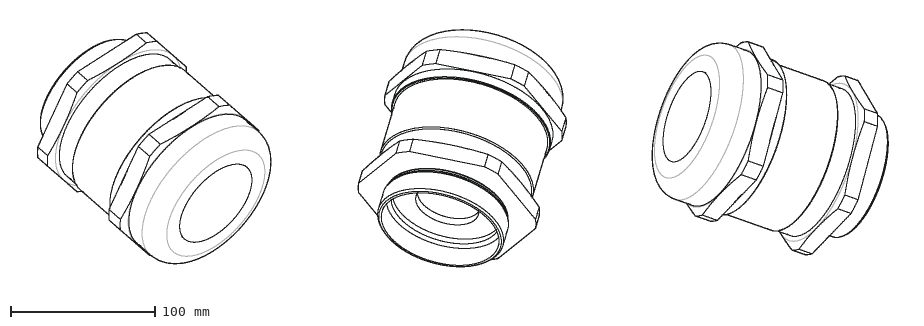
import cadquery as cq
import math

length = 136.0

thread_diameter = 90.0
lead_in_diameter = 87.6
thread_chamfer = 1.5
thread_end = 15.9
relief_start = 17.3
relief_diameter = thread_diameter - 2 * (relief_start - thread_end)
ring_outer_diameter = 87.6
ring_cord_radius = 1.6

across_flats = 115.0
across_corners = 126.9
body_hex_start = 20.0
body_hex_end = 32.2
nut_hex_start = 96.0
nut_hex_end = 109.8
hex_chamfer_angle = 15.0
hex_chamfer = (across_corners - across_flats) / 2 * math.tan(math.radians(hex_chamfer_angle))

neck_diameter = 108.0
barrel_diameter = 110.0
barrel_start = 46.4
barrel_chamfer = 1.0

cap_diameter = 113.8
cap_start = 88.8
cap_chamfer = 0.5
dome_radius = 12.1

mouth_diameter = 84.0
seat_diameter = 78.0
mouth_depth = 14.5
seat_start = 16.3
seat_depth = 20.4
cable_diameter = 45.0
seal_lip_length = 5.5
cavity_diameter = 66.0


def disc(diameter, start, end):
    """Cylinder on the X axis between two stations."""
    return cq.Workplane("YZ", origin=(start, 0, 0)).circle(diameter / 2).extrude(end - start)


def cone(start_diameter, end_diameter, start, end):
    """Tapered plug on the X axis between two stations."""
    profile = [(start, 0), (start, start_diameter / 2), (end, end_diameter / 2), (end, 0)]
    return cq.Workplane("XY").polyline(profile).close().revolve(360, (0, 0, 0), (1, 0, 0))


def hexagon(start, end):
    """Hexagon with flats facing +Z and -Z, turned corners and a chamfered +X face."""
    prism = (
        cq.Workplane("YZ", origin=(start, 0, 0))
        .polygon(6, across_flats, circumscribed=True)
        .extrude(end - start)
        .rotate((0, 0, 0), (1, 0, 0), 90)
    )
    chamfer_start = end - hex_chamfer
    envelope = disc(across_corners, start, chamfer_start).union(
        cone(across_corners, across_flats, chamfer_start, end)
    )
    return prism.intersect(envelope)


def spigot():
    thread = disc(thread_diameter, thread_chamfer, thread_end)
    lead_in = cone(lead_in_diameter, thread_diameter, 0, thread_chamfer)
    run_out = cone(thread_diameter, relief_diameter, thread_end, relief_start)
    relief = disc(relief_diameter, relief_start, body_hex_start)
    return thread.union(lead_in).union(run_out).union(relief)


def sealing_ring():
    center = (relief_start + ring_cord_radius, ring_outer_diameter / 2 - ring_cord_radius)
    cord = cq.Workplane("XY").center(*center).circle(ring_cord_radius)
    return cord.revolve(360, (0, -center[1], 0), (1, -center[1], 0))


def body():
    neck = disc(neck_diameter, body_hex_end, barrel_start)
    barrel_full = barrel_start + barrel_chamfer
    shoulder = cone(neck_diameter, barrel_diameter, barrel_start, barrel_full)
    barrel = disc(barrel_diameter, barrel_full, cap_start)
    return hexagon(body_hex_start, body_hex_end).union(neck).union(shoulder).union(barrel)


def cap_nut():
    cap = disc(cap_diameter, cap_start, length)
    cap = cap.faces("<X").edges().chamfer(cap_chamfer)
    cap = cap.faces(">X").edges().fillet(dome_radius)
    return cap.union(hexagon(nut_hex_start, nut_hex_end))


def bore():
    mouth = disc(mouth_diameter, 0, mouth_depth)
    taper = cone(mouth_diameter, seat_diameter, mouth_depth, seat_start)
    seat = disc(seat_diameter, seat_start, seat_depth)
    lip_end = seat_depth + seal_lip_length
    lip_hole = disc(cable_diameter, seat_depth, lip_end)
    cavity = disc(cavity_diameter, lip_end, length)
    return mouth.union(taper).union(seat).union(lip_hole).union(cavity)


result = spigot().union(sealing_ring()).union(body()).union(cap_nut()).cut(bore())